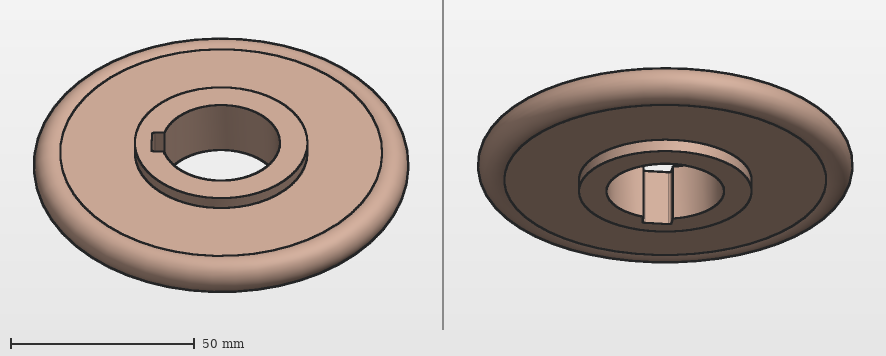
import cadquery as cq

HUB_DIAMETER = 47.0
HUB_LENGTH = 16.0
BORE_DIAMETER = 32.0
WEB_THICKNESS = 9.0

OUTER_DIAMETER = 102.0
TYRE_SECTION_DIAMETER = 10.0
TYRE_SECTION_RADIUS = TYRE_SECTION_DIAMETER / 2
TYRE_CENTRE_RADIUS = OUTER_DIAMETER / 2 - TYRE_SECTION_RADIUS

KEYWAY_WIDTH = 8.0
KEYWAY_FLOOR_RADIUS = 18.9
KEYWAY_CORNER_RADIUS = 0.8
KEYWAY_ANGLE = 201


def centred_cylinder(diameter, length):
    return cq.Workplane("XY").circle(diameter / 2).extrude(length / 2, both=True)


def make_tyre():
    """Full ring of circular section around the Z axis."""
    ring = cq.Solid.makeTorus(TYRE_CENTRE_RADIUS, TYRE_SECTION_RADIUS)
    return cq.Workplane("XY").add(ring)


def make_keyway_cutter():
    """Bar from the bore axis to the keyway floor, with rounded floor corners."""
    return (
        cq.Workplane("XY")
        .box(KEYWAY_FLOOR_RADIUS, KEYWAY_WIDTH, HUB_LENGTH, centered=(False, True, True))
        .edges("|Z and >X")
        .fillet(KEYWAY_CORNER_RADIUS)
        .rotate((0, 0, 0), (0, 0, 1), KEYWAY_ANGLE)
    )


def make_wheel():
    """Hub and web, with the tyre groove, the bore and the keyway cut out."""
    web = centred_cylinder(2 * TYRE_CENTRE_RADIUS, WEB_THICKNESS).cut(make_tyre())
    hub = centred_cylinder(HUB_DIAMETER, HUB_LENGTH)
    bore = centred_cylinder(BORE_DIAMETER, HUB_LENGTH)
    return web.union(hub).cut(bore).cut(make_keyway_cutter())


wheel = make_wheel()
tyre = make_tyre()

result = cq.Compound.makeCompound([wheel.solids().val(), tyre.val()])